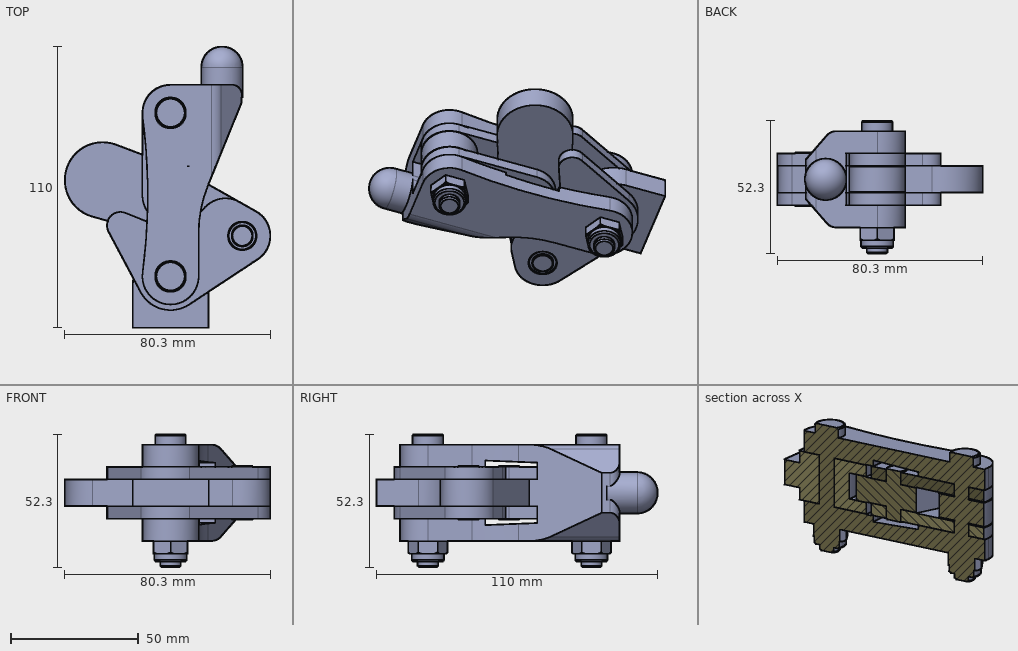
import cadquery as cq
import math


BASE_PIVOT = (0.0, 0.0)
HANDLE_PIVOT = (0.0, 63.9)
LINK_PIVOT = (0.0, 31.7)
ARM_PIVOT = (28.0, 15.8)
EYE_R = 11.0
PIN_R = 4.2
BOLT_R = 4.1

MIN_TURN = 1e-6

CORE_T = 10.5
PLATE_T = 5.0
CHEEK_T = 8.7
CORE_Z = CORE_T / 2
PLATE_Z = CORE_Z + PLATE_T
CHEEK_Z = PLATE_Z + CHEEK_T
PIN_PROUD = 0.3
PIN_CHAMFER = 0.3

BLOCK_W = 29.7
BLOCK_BOTTOM_Y = -20.1
BLOCK_ROUND_Y = -3.8
BASE_EYE_R = 13.2
BASE_EAR = (-19.6, 19.9)
BASE_EAR_R = 5.3
LINK_RELIEF_R = 13.0
SHOULDER_DISTANCE = 24.8
GROOVE_R = 5.6
GROOVE_DEPTH = 0.3
GROOVE_TAPER = 45.0

ARM_PAD = (-26.5, 37.6)
ARM_PAD_R = 14.8
ARM_CROOK = (0.0, 14.7)

WAIST_HALF_W = 8.9
FLARE_START_Y = 17.0
FLARE_R = 48.4
FLARE_ANGLE = math.radians(22.1)
HANDLE_RIGHT_X = 27.8
HANDLE_CORNER_R = 3.8
BEVEL_START_X = 16.0
BEVEL_R = 5.0
BEVEL_ANGLE = math.radians(49)
WEB_X = 12.1
WEB_BOTTOM_Y = 39.6
POCKET_BOTTOM_Y = 21.7
POCKET_TOP_Y = 43.7
POCKET_BOTTOM_DEPTH = 2.4
POCKET_TOP_DEPTH = 1.5
POCKET_TAPER = math.radians(2)
GRIP_X = 20.1
GRIP_R = 8.1
GRIP_BOTTOM_Y = 70.0
GRIP_TOP_Y = 89.9
SPACER_GAP = 0.28

HEAD_R = 6.0
HEAD_H = 4.1
HEAD_CHAMFER = 0.5
NUT_FLATS = 13.3
NUT_H = 5.0
NUT_CHAMFER = 0.5
COLLAR_R = 6.4
COLLAR_H = 3.1
COLLAR_CHAMFER = 0.7
BOLT_END_H = 2.2
BOLT_CHAMFER = 0.7


def toward(start, angle, distance):
    """Point at a distance from start, in the direction of angle."""
    return (start[0] + distance * math.cos(angle), start[1] + distance * math.sin(angle))


def heading(start, end):
    return math.atan2(end[1] - start[1], end[0] - start[0])


def belt_outline(circles):
    """Closed counter-clockwise outline of arcs and their tangents; a negative radius is concave.

    A zero radius is a sharp corner.
    """
    count = len(circles)
    normals = []
    for i in range(count):
        (c1, r1), (c2, r2) = circles[i], circles[(i + 1) % count]
        lean = math.asin((r2 - r1) / math.dist(c1, c2))
        normals.append(heading(c1, c2) - math.pi / 2 - lean)

    outline = cq.Workplane("XY").moveTo(*toward(circles[0][0], normals[-1], circles[0][1]))
    for i, (center, radius) in enumerate(circles):
        start = normals[i - 1]
        turn = math.remainder(normals[i] - start, 2 * math.pi)
        if radius > 0:
            turn = turn % (2 * math.pi)
        if radius != 0 and abs(turn) > MIN_TURN:
            outline = outline.threePointArc(
                toward(center, start + turn / 2, radius),
                toward(center, start + turn, radius),
            )
        next_center, next_radius = circles[(i + 1) % count]
        if i < count - 1:
            outline = outline.lineTo(*toward(next_center, normals[i], next_radius))
    return outline.close()


def layer(outline, z_low, z_high):
    return outline.extrude(z_high - z_low).translate((0, 0, z_low))


def cylinder(center, radius, z_low, z_high):
    return layer(cq.Workplane("XY").center(*center).circle(radius), z_low, z_high)


def both_sides(solid):
    return solid.union(solid.mirror("XY"))


def make_rivet(center):
    """Pin through the plates or links, with chamfered ends that stand slightly proud."""
    rivet_z = PLATE_Z + PIN_PROUD
    return cylinder(center, PIN_R, -rivet_z, rivet_z).faces("|Z").chamfer(PIN_CHAMFER)


def make_base():
    """Weld-on block between two plates, with the rivet that carries the arm."""
    half_w = BLOCK_W / 2
    block_outline = (
        cq.Workplane("XY")
        .moveTo(-half_w, BLOCK_BOTTOM_Y)
        .lineTo(half_w, BLOCK_BOTTOM_Y)
        .lineTo(half_w, BLOCK_ROUND_Y)
        .threePointArc((0, BLOCK_ROUND_Y + half_w), (-half_w, BLOCK_ROUND_Y))
        .close()
    )
    block = layer(block_outline, -CORE_Z, CORE_Z)

    shoulder = toward(LINK_PIVOT, heading(LINK_PIVOT, ARM_PIVOT), SHOULDER_DISTANCE)
    plate_outline = belt_outline([
        (BASE_PIVOT, BASE_EYE_R),
        (ARM_PIVOT, EYE_R),
        (shoulder, EYE_R),
        (LINK_PIVOT, -LINK_RELIEF_R),
        (BASE_EAR, BASE_EAR_R),
    ])
    plate = layer(plate_outline, CORE_Z, PLATE_Z)
    groove = (
        cq.Workplane("XY", origin=(*ARM_PIVOT, PLATE_Z))
        .circle(GROOVE_R)
        .extrude(-GROOVE_DEPTH, taper=GROOVE_TAPER)
    )
    plate = plate.cut(groove)

    bolt_hole = cylinder(BASE_PIVOT, BOLT_R, -PLATE_Z, PLATE_Z)
    return block.union(both_sides(plate)).union(make_rivet(ARM_PIVOT)).cut(bolt_hole)


def make_arm():
    """Clamping arm with its weld pad, and the rivet that carries the links."""
    outline = belt_outline([
        (ARM_PAD, ARM_PAD_R),
        (ARM_CROOK, 0),
        (ARM_PIVOT, EYE_R),
        (LINK_PIVOT, EYE_R),
    ])
    arm = layer(outline, -CORE_Z, CORE_Z)
    arm = arm.cut(cylinder(ARM_PIVOT, PIN_R, -CORE_Z, CORE_Z))
    return arm.union(make_rivet(LINK_PIVOT))


def make_link(z_low):
    z_high = z_low + PLATE_T
    link = layer(belt_outline([(LINK_PIVOT, EYE_R), (HANDLE_PIVOT, EYE_R)]), z_low, z_high)
    link = link.cut(cylinder(LINK_PIVOT, PIN_R, z_low, z_high))
    return link.cut(cylinder(HANDLE_PIVOT, BOLT_R, z_low, z_high))


def handle_outline():
    """Outline in XY: round ends, a hollow left edge, and a right edge that flares out."""
    middle_y = (BASE_PIVOT[1] + HANDLE_PIVOT[1]) / 2
    hollow_r = (middle_y**2 + WAIST_HALF_W**2 - EYE_R**2) / (2 * (EYE_R - WAIST_HALF_W))
    hollow_center = (-WAIST_HALF_W - hollow_r, middle_y)
    hollow_top = toward(HANDLE_PIVOT, heading(HANDLE_PIVOT, hollow_center), EYE_R)
    hollow_bottom = toward(BASE_PIVOT, heading(BASE_PIVOT, hollow_center), EYE_R)

    flare_center = (EYE_R + FLARE_R, FLARE_START_Y)
    flare_middle = toward(flare_center, math.pi - FLARE_ANGLE / 2, FLARE_R)
    flare_end = toward(flare_center, math.pi - FLARE_ANGLE, FLARE_R)
    flare_top_y = flare_end[1] + (HANDLE_RIGHT_X - flare_end[0]) / math.tan(FLARE_ANGLE)

    top_y = HANDLE_PIVOT[1] + EYE_R
    corner = (HANDLE_RIGHT_X - HANDLE_CORNER_R, top_y - HANDLE_CORNER_R)
    return (
        cq.Workplane("XY")
        .moveTo(EYE_R, 0)
        .lineTo(EYE_R, FLARE_START_Y)
        .threePointArc(flare_middle, flare_end)
        .lineTo(HANDLE_RIGHT_X, flare_top_y)
        .lineTo(HANDLE_RIGHT_X, corner[1])
        .threePointArc(toward(corner, math.pi / 4, HANDLE_CORNER_R), (corner[0], top_y))
        .lineTo(HANDLE_PIVOT[0], top_y)
        .threePointArc(toward(HANDLE_PIVOT, math.radians(135), EYE_R), hollow_top)
        .threePointArc((-WAIST_HALF_W, middle_y), hollow_bottom)
        .threePointArc((BASE_PIVOT[0], BASE_PIVOT[1] - EYE_R), (EYE_R, 0))
        .close()
    )


def handle_envelope():
    """Cross-section in XZ with both cheeks bent inwards on the right, swept along Y."""
    bend_center = (BEVEL_START_X, CHEEK_Z - BEVEL_R)
    bend_middle = toward(bend_center, (math.pi - BEVEL_ANGLE) / 2, BEVEL_R)
    bend_end = toward(bend_center, math.pi / 2 - BEVEL_ANGLE, BEVEL_R)
    edge_z = bend_end[1] - (HANDLE_RIGHT_X - bend_end[0]) * math.tan(BEVEL_ANGLE)
    bottom_y = BASE_PIVOT[1] - EYE_R
    top_y = HANDLE_PIVOT[1] + EYE_R
    upper_half = (
        cq.Workplane("XZ", origin=(0, top_y, 0))
        .moveTo(-EYE_R, 0)
        .lineTo(HANDLE_RIGHT_X, 0)
        .lineTo(HANDLE_RIGHT_X, edge_z)
        .lineTo(*bend_end)
        .threePointArc(bend_middle, (BEVEL_START_X, CHEEK_Z))
        .lineTo(-EYE_R, CHEEK_Z)
        .close()
        .extrude(top_y - bottom_y)
    )
    return both_sides(upper_half)


def handle_cavity():
    """Space between the cheeks, open at the left and below the web."""
    bottom_y = BASE_PIVOT[1] - EYE_R
    top_y = HANDLE_PIVOT[1] + EYE_R
    cavity = (
        cq.Workplane("XY")
        .moveTo(-EYE_R, bottom_y)
        .lineTo(HANDLE_RIGHT_X, bottom_y)
        .lineTo(HANDLE_RIGHT_X, WEB_BOTTOM_Y)
        .lineTo(WEB_X, WEB_BOTTOM_Y)
        .lineTo(WEB_X, top_y)
        .lineTo(-EYE_R, top_y)
        .close()
    )
    return layer(cavity, -PLATE_Z, PLATE_Z)


def handle_pockets():
    """Shallow sloping pockets across the inner cheek faces, clearing the link rivet."""
    pocket = (
        cq.Workplane("YZ", origin=(-EYE_R, 0, 0))
        .moveTo(POCKET_BOTTOM_Y, CORE_Z)
        .lineTo(POCKET_TOP_Y, CORE_Z)
        .lineTo(POCKET_TOP_Y, PLATE_Z + POCKET_TOP_DEPTH)
        .lineTo(POCKET_BOTTOM_Y, PLATE_Z + POCKET_BOTTOM_DEPTH)
        .close()
        .extrude(EYE_R + HANDLE_RIGHT_X)
    )
    narrowing = (EYE_R + HANDLE_RIGHT_X) * math.tan(POCKET_TAPER)
    plan = (
        cq.Workplane("XY")
        .moveTo(-EYE_R, POCKET_BOTTOM_Y)
        .lineTo(HANDLE_RIGHT_X, POCKET_BOTTOM_Y + narrowing)
        .lineTo(HANDLE_RIGHT_X, POCKET_TOP_Y - narrowing)
        .lineTo(-EYE_R, POCKET_TOP_Y)
        .close()
    )
    return both_sides(pocket.intersect(layer(plan, 0, CHEEK_Z)))


def make_grip():
    """Round grip along Y with a hemispherical end."""
    dome_y = GRIP_TOP_Y - GRIP_R
    rod = (
        cq.Workplane("XZ", origin=(GRIP_X, dome_y, 0))
        .circle(GRIP_R)
        .extrude(dome_y - GRIP_BOTTOM_Y)
    )
    dome = cq.Workplane("XY").sphere(GRIP_R).translate((GRIP_X, dome_y, 0))
    return rod.union(dome)


def make_bolt(center):
    """Bolt with a round head above and a lock nut below the cheeks."""
    head = cylinder(center, HEAD_R, CHEEK_Z, CHEEK_Z + HEAD_H).faces(">Z").chamfer(HEAD_CHAMFER)

    nut_z = -CHEEK_Z - NUT_H
    collar_z = nut_z - COLLAR_H
    end_z = collar_z - BOLT_END_H
    nut_corners = NUT_FLATS / math.cos(math.pi / 6)
    hexagon = (
        cq.Workplane("XY").center(*center)
        .transformed(rotate=(0, 0, 90))
        .polygon(6, nut_corners)
    )
    nut_blank = cylinder(center, nut_corners / 2, nut_z, -CHEEK_Z).faces("<Z").chamfer(NUT_CHAMFER)
    nut = layer(hexagon, nut_z, -CHEEK_Z).intersect(nut_blank)
    collar = cylinder(center, COLLAR_R, collar_z, nut_z).faces("<Z").chamfer(COLLAR_CHAMFER)
    shank = cylinder(center, BOLT_R, end_z, CHEEK_Z).faces("<Z").chamfer(BOLT_CHAMFER)
    return shank.union(head).union(nut).union(collar)


def make_handle():
    """Two cheeks joined by a web, with the grip, the bolts and the spacer between the links."""
    handle = layer(handle_outline(), -CHEEK_Z, CHEEK_Z).intersect(handle_envelope())
    handle = handle.cut(handle_cavity()).cut(handle_pockets())
    handle = handle.union(make_grip())
    for pivot in (BASE_PIVOT, HANDLE_PIVOT):
        handle = handle.union(make_bolt(pivot))
    spacer_z = CORE_Z - SPACER_GAP
    return handle.union(cylinder(HANDLE_PIVOT, EYE_R, -spacer_z, spacer_z))


base = make_base()
arm = make_arm()
links = [make_link(z_low) for z_low in (CORE_Z, -PLATE_Z)]
handle = make_handle()

result = cq.Compound.makeCompound([
    base.val(),
    arm.val(),
    *[link.val() for link in links],
    handle.val(),
])